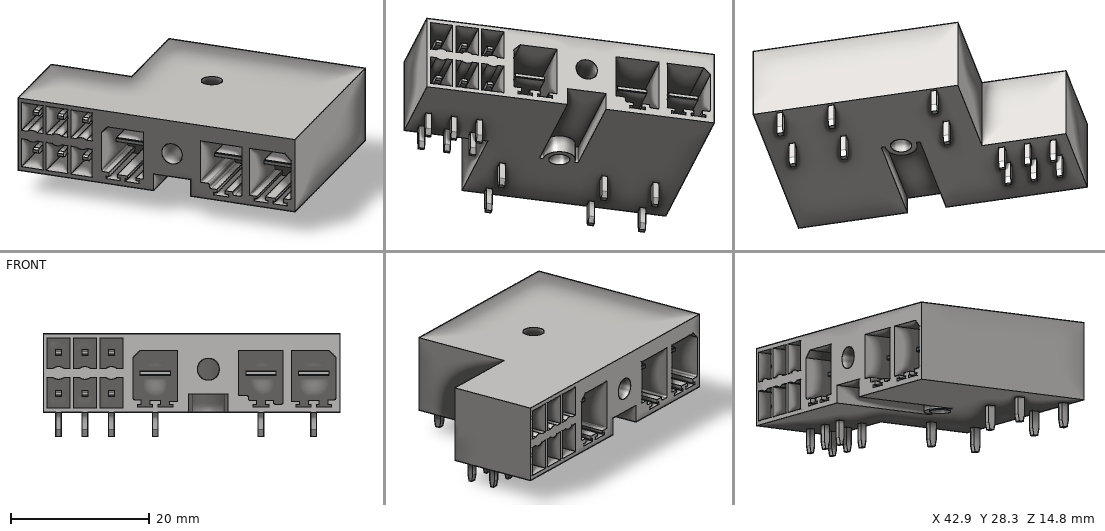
import cadquery as cq


HOUSING_WIDTH = 42.9
HOUSING_DEPTH = 28.3
HOUSING_HEIGHT = 11.35
STEP_WIDTH = 12.48
STEP_DEPTH = 13.3

SIGNAL_PITCH = 3.8
SIGNAL_COLUMNS = 3
SIGNAL_FIRST_X = 2.2
SIGNAL_POCKET_WIDTH = 3.3
SIGNAL_POCKET_HEIGHT = 10.2
SIGNAL_POCKET_DEPTH = 6.85
SIGNAL_POCKET_MARGIN = 0.65
KEY_BUMP_WIDTH = 1.55
KEY_BUMP_HEIGHT = 0.6
SIGNAL_PIN_SIZE = 0.85
SIGNAL_PIN_OFFSET = 4.9
SIGNAL_TIP_Y = 1.45
SIGNAL_TIP_SETBACK = 0.2
SIGNAL_TIP_LENGTH = 0.4
LOWER_LEG_Y = 7.98
UPPER_LEG_Y = LOWER_LEG_Y + SIGNAL_PITCH

POWER_PITCH = 2 * SIGNAL_PITCH
POWER_RIGHT_X = 39.05
POWER_MIDDLE_X = POWER_RIGHT_X - POWER_PITCH
POWER_LEFT_X = POWER_RIGHT_X - 3 * POWER_PITCH
POWER_POCKET_HALF = 3.2
POWER_POCKET_TOP = 8.9
POWER_POCKET_DEPTH = 10.3
POWER_CORNER_CUT = 1.0
EDGE_RADIUS = 0.3
SMALL_EDGE_RADIUS = 0.15
GROOVE_FLOOR = 0.77
GROOVE_SHELF = 1.15
GROOVE_TOP = 1.67
GROOVE_UNDERCUT = 0.5
RIB_HALF = 0.77
OUTER_GROOVE_REACH = 2.05
OUTER_LEDGE_KEYED = 1.8
OUTER_LEDGE_PLAIN = 1.55
RIB_FOOT_HALF = 0.4
MIDDLE_GROOVE_HALF = 0.65
MIDDLE_FLOOR_HALF = 1.8
MIDDLE_LEDGE = 2.45

BLADE_WIDTH = 4.37
BLADE_THICKNESS = 0.65
BLADE_Z = 5.65
BLADE_TIP_Y = 3.15
BLADE_TIP_SETBACK = 0.1
BLADE_TIP_LENGTH = 0.17
POWER_LEG_DEPTH = 1.1
FRONT_POWER_LEG_Y = 19.65
REAR_POWER_LEG_Y = FRONT_POWER_LEG_Y + POWER_PITCH

LEG_WIDTH = 0.85
LEG_LENGTH = 3.5
LEG_TAPER_LENGTH = 1.05
LEG_TIP_SETBACK = 0.2

SLEEVE_X = 23.85
SLEEVE_Y = 16.0
SLEEVE_RADIUS = 2.3
SCREW_HOLE_DIAMETER = 3.05
FRONT_HOLE_DIAMETER = 3.17
FRONT_HOLE_Z = 6.2
SLOT_HALF = 2.87
SLOT_HEIGHT = 2.6


def extrude_back(outline, depth):
    """Extrude a closed XZ sketch from the front face towards +Y."""
    return outline.close().extrude(-depth)


def round_edge(pocket, x, z, radius):
    """Round the power pocket's edge that runs along Y through the corner x, z."""
    edge_middle = (x, POWER_POCKET_DEPTH / 2, z)
    return pocket.edges(cq.NearestToPointSelector(edge_middle)).fillet(radius)


def signal_places():
    """Pin axis of every signal pocket: x, outer z, inward direction, leg y."""
    for column in range(SIGNAL_COLUMNS):
        x = SIGNAL_FIRST_X + column * SIGNAL_PITCH
        yield x, SIGNAL_POCKET_MARGIN, 0.45, LOWER_LEG_Y
        yield x, HOUSING_HEIGHT - SIGNAL_POCKET_MARGIN, -0.45, UPPER_LEG_Y


def signal_pocket(x, outer_z, inward):
    """Pocket with a rounded key bump on the side facing the other row."""
    half = SIGNAL_POCKET_WIDTH / 2
    bump_half = KEY_BUMP_WIDTH / 2
    inner_z = outer_z + inward * SIGNAL_POCKET_HEIGHT
    bump_z = inner_z - inward * KEY_BUMP_HEIGHT
    outline = (
        cq.Workplane("XZ")
        .moveTo(x - half, outer_z)
        .lineTo(x + half, outer_z)
        .lineTo(x + half, inner_z)
        .lineTo(x + bump_half, inner_z)
        .threePointArc((x, bump_z), (x - bump_half, inner_z))
        .lineTo(x - half, inner_z)
    )
    return extrude_back(outline, SIGNAL_POCKET_DEPTH)


def outer_power_pocket(x, side):
    """Pocket keyed by a cut top corner, with two T-grooves; side is the +X or -X corner."""
    foot = OUTER_GROOVE_REACH + GROOVE_UNDERCUT
    half = POWER_POCKET_HALF
    points = [
        (-half, POWER_POCKET_TOP),
        (half - POWER_CORNER_CUT, POWER_POCKET_TOP),
        (half, POWER_POCKET_TOP - POWER_CORNER_CUT),
        (half, OUTER_LEDGE_KEYED),
        (OUTER_GROOVE_REACH, OUTER_LEDGE_KEYED),
        (OUTER_GROOVE_REACH, GROOVE_SHELF),
        (foot, GROOVE_SHELF),
        (foot, GROOVE_FLOOR),
        (RIB_FOOT_HALF, GROOVE_FLOOR),
        (RIB_FOOT_HALF, GROOVE_SHELF),
        (RIB_HALF, GROOVE_SHELF),
        (RIB_HALF, GROOVE_TOP),
        (-RIB_HALF, GROOVE_TOP),
        (-RIB_HALF, GROOVE_SHELF),
        (-RIB_FOOT_HALF, GROOVE_SHELF),
        (-RIB_FOOT_HALF, GROOVE_FLOOR),
        (-foot, GROOVE_FLOOR),
        (-foot, GROOVE_SHELF),
        (-OUTER_GROOVE_REACH, GROOVE_SHELF),
        (-OUTER_GROOVE_REACH, OUTER_LEDGE_PLAIN),
        (-half, OUTER_LEDGE_PLAIN),
    ]
    outline = cq.Workplane("XZ").polyline([(x + side * u, z) for u, z in points])
    pocket = extrude_back(outline, POWER_POCKET_DEPTH)
    pocket = round_edge(pocket, x + side * half, OUTER_LEDGE_KEYED, EDGE_RADIUS)
    return round_edge(pocket, x - side * half, OUTER_LEDGE_PLAIN, SMALL_EDGE_RADIUS)


def middle_power_pocket(x):
    """Pocket with one central T-groove and floors at different heights left and right."""
    half = POWER_POCKET_HALF
    foot = MIDDLE_GROOVE_HALF + GROOVE_UNDERCUT
    points = [
        (-half, POWER_POCKET_TOP),
        (half, POWER_POCKET_TOP),
        (half, GROOVE_SHELF),
        (MIDDLE_FLOOR_HALF, GROOVE_SHELF),
        (MIDDLE_FLOOR_HALF, GROOVE_TOP),
        (MIDDLE_GROOVE_HALF, GROOVE_TOP),
        (MIDDLE_GROOVE_HALF, GROOVE_SHELF),
        (foot, GROOVE_SHELF),
        (foot, GROOVE_FLOOR),
        (-foot, GROOVE_FLOOR),
        (-foot, GROOVE_SHELF),
        (-MIDDLE_GROOVE_HALF, GROOVE_SHELF),
        (-MIDDLE_GROOVE_HALF, GROOVE_TOP),
        (-MIDDLE_FLOOR_HALF, GROOVE_TOP),
        (-MIDDLE_FLOOR_HALF, MIDDLE_LEDGE),
        (-half, MIDDLE_LEDGE),
    ]
    outline = cq.Workplane("XZ").polyline([(x + u, z) for u, z in points])
    pocket = extrude_back(outline, POWER_POCKET_DEPTH)
    rounded_corners = [
        (half, GROOVE_SHELF),
        (MIDDLE_FLOOR_HALF, GROOVE_SHELF),
        (-MIDDLE_FLOOR_HALF, GROOVE_TOP),
        (-MIDDLE_FLOOR_HALF, MIDDLE_LEDGE),
    ]
    for u, z in rounded_corners:
        pocket = round_edge(pocket, x + u, z, EDGE_RADIUS)
    return round_edge(pocket, x - half, MIDDLE_LEDGE, SMALL_EDGE_RADIUS)


def mounting_cut():
    """Front hole and bottom slot, both ending at the sleeve, and the screw hole through it."""
    front_hole = (
        cq.Workplane("XZ")
        .center(SLEEVE_X, FRONT_HOLE_Z)
        .circle(FRONT_HOLE_DIAMETER / 2)
        .extrude(-SLEEVE_Y)
    )
    gap_radius = (SLOT_HALF - SLEEVE_RADIUS) / 2
    gap_middle = SLEEVE_RADIUS + gap_radius
    gap_end_y = SLEEVE_Y + gap_radius
    slot = (
        cq.Workplane("XY")
        .moveTo(SLEEVE_X - SLOT_HALF, 0)
        .lineTo(SLEEVE_X + SLOT_HALF, 0)
        .lineTo(SLEEVE_X + SLOT_HALF, SLEEVE_Y)
        .threePointArc((SLEEVE_X + gap_middle, gap_end_y), (SLEEVE_X + SLEEVE_RADIUS, SLEEVE_Y))
        .lineTo(SLEEVE_X - SLEEVE_RADIUS, SLEEVE_Y)
        .threePointArc((SLEEVE_X - gap_middle, gap_end_y), (SLEEVE_X - SLOT_HALF, SLEEVE_Y))
        .close()
        .extrude(SLOT_HEIGHT)
    )
    sleeve_axis = cq.Workplane("XY").center(SLEEVE_X, SLEEVE_Y)
    sleeve = sleeve_axis.circle(SLEEVE_RADIUS).extrude(HOUSING_HEIGHT)
    screw_hole = sleeve_axis.circle(SCREW_HOLE_DIAMETER / 2).extrude(HOUSING_HEIGHT)
    return front_hole.union(slot).cut(sleeve).union(screw_hole)


def tapered_leg(x, y, depth, top_z):
    """Solder leg from top_z down, its tip tapered on the front and back."""
    half = depth / 2
    tip_half = half - LEG_TIP_SETBACK
    taper_z = LEG_TAPER_LENGTH - LEG_LENGTH
    points = [
        (y - half, top_z),
        (y + half, top_z),
        (y + half, taper_z),
        (y + tip_half, -LEG_LENGTH),
        (y - tip_half, -LEG_LENGTH),
        (y - half, taper_z),
    ]
    left_side = cq.Workplane("YZ", origin=(x - LEG_WIDTH / 2, 0, 0))
    return left_side.polyline(points).close().extrude(LEG_WIDTH)


def tipped_bar(x, z, width, thickness, tip_y, back_y, tip_setback, tip_length):
    """Horizontal bar along Y, its front tip tapered on the top and bottom."""
    half = thickness / 2
    tip_half = half - tip_setback
    points = [
        (tip_y, z - tip_half),
        (tip_y + tip_length, z - half),
        (back_y, z - half),
        (back_y, z + half),
        (tip_y + tip_length, z + half),
        (tip_y, z + tip_half),
    ]
    left_side = cq.Workplane("YZ", origin=(x - width / 2, 0, 0))
    return left_side.polyline(points).close().extrude(width)


def make_signal_pin(x, z, leg_y):
    """Square pin that bends down into a single solder leg."""
    back_y = leg_y + SIGNAL_PIN_SIZE / 2
    bar = tipped_bar(
        x, z, SIGNAL_PIN_SIZE, SIGNAL_PIN_SIZE, SIGNAL_TIP_Y, back_y, SIGNAL_TIP_SETBACK, SIGNAL_TIP_LENGTH
    )
    return bar.union(tapered_leg(x, leg_y, SIGNAL_PIN_SIZE, z))


def make_power_contact(x):
    """Wide flat blade with two solder legs in line behind the pocket."""
    back_y = REAR_POWER_LEG_Y + POWER_LEG_DEPTH / 2
    contact = tipped_bar(
        x, BLADE_Z, BLADE_WIDTH, BLADE_THICKNESS, BLADE_TIP_Y, back_y, BLADE_TIP_SETBACK, BLADE_TIP_LENGTH
    )
    for leg_y in (FRONT_POWER_LEG_Y, REAR_POWER_LEG_Y):
        contact = contact.union(tapered_leg(x, leg_y, POWER_LEG_DEPTH, BLADE_Z))
    return contact


def make_housing(contacts):
    """L-shaped block with its pockets and holes, and a fitting channel for every contact."""
    body = (
        cq.Workplane("XY")
        .moveTo(0, 0)
        .lineTo(HOUSING_WIDTH, 0)
        .lineTo(HOUSING_WIDTH, HOUSING_DEPTH)
        .lineTo(STEP_WIDTH, HOUSING_DEPTH)
        .lineTo(STEP_WIDTH, STEP_DEPTH)
        .lineTo(0, STEP_DEPTH)
        .close()
        .extrude(HOUSING_HEIGHT)
    )
    for x, outer_z, inward, _ in signal_places():
        body = body.cut(signal_pocket(x, outer_z, inward))
    body = body.cut(outer_power_pocket(POWER_LEFT_X, -1))
    body = body.cut(middle_power_pocket(POWER_MIDDLE_X))
    body = body.cut(outer_power_pocket(POWER_RIGHT_X, 1))
    body = body.cut(mounting_cut())
    for contact in contacts:
        body = body.cut(contact)
    return body


signal_pins = [
    make_signal_pin(x, outer_z + inward * SIGNAL_PIN_OFFSET, leg_y)
    for x, outer_z, inward, leg_y in signal_places()
]
power_contacts = [make_power_contact(x) for x in (POWER_LEFT_X, POWER_MIDDLE_X, POWER_RIGHT_X)]
housing = make_housing(signal_pins + power_contacts)

result = cq.Compound.makeCompound(
    [
        housing.val(),
        *[pin.val() for pin in signal_pins],
        *[contact.val() for contact in power_contacts],
    ]
)